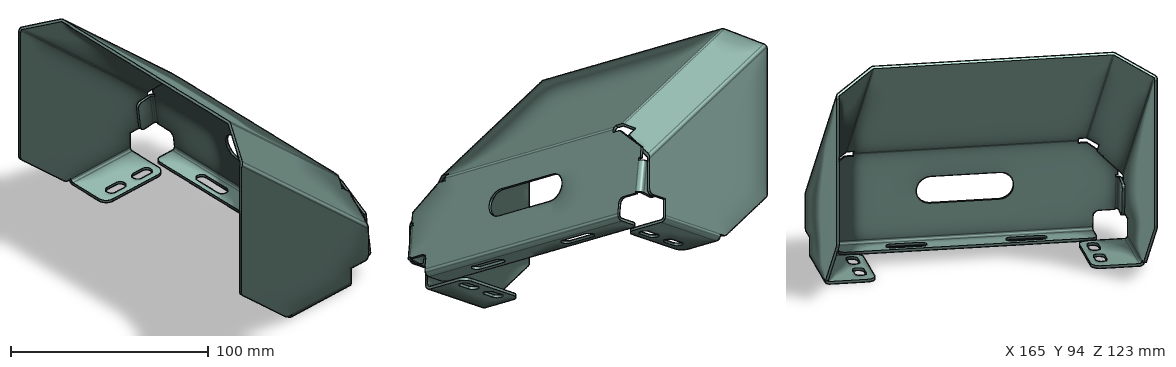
import cadquery as cq
import math

WIDTH = 165.0
DEPTH = 94.0
HEIGHT = 123.0
REACH = 2 * WIDTH

SHEET = 1.5
BEND_OUTER = 3.0
SHALLOW_BEND_OUTER = 2.5
CORNER = 2.5

ROOF_SLOPE_DEG = 42.6
ROOF_SLOPE = math.radians(ROOF_SLOPE_DEG)
WING_CANT = math.radians(36.0)
ROOF_HALF_WIDTH = 62.2
ROOF_TIP_Y = 11.0
CHEEK_BACK_Y = 87.8
CHEEK_FRONT_BOTTOM_Z = 31.7

OPENING_TOP_Z = 11.9
OPENING_CORNER = 3.0

FOOT_FRONT_Y = 34.8
FOOT_BACK_Y = 75.9
FOOT_INNER_X = 55.5
FOOT_CORNER = 5.0
FOOT_SLOT_X = 61.9
FOOT_SLOT_YS = (47.8, 66.0)
FOOT_SLOT_LENGTH = 12.0
FIXING_SLOT_WIDTH = 6.0

BACK_TILT_DEG = 7.0
BACK_TILT = math.radians(BACK_TILT_DEG)
FLANGE_FRONT_Y = 79.4
FLANGE_HALF_WIDTH = 66.3
FLANGE_CORNER = 3.3
FLANGE_SLOT_X = 30.9
FLANGE_SLOT_Y = 85.3
FLANGE_SLOT_LENGTH = 21.0
PANEL_HALF_WIDTH = 78.5
PANEL_SHOULDER_Z = 37.1
PANEL_TOP_HALF_WIDTH = 62.2
PANEL_TOP_Z = 49.8
WINDOW_LENGTH = 50.0
WINDOW_HEIGHT = 14.8
WINDOW_Z = 28.7

LUG_HALF_WIDTH = 80.5
LUG_BOTTOM_Z = 12.7
LUG_TOP_Z = 30.2
LUG_DEPTH = 11.5
LUG_RELIEF_HALF_WIDTH = LUG_HALF_WIDTH - BEND_OUTER
LUG_RELIEF_HEIGHT = 1.0

ROOF_FOLD_HALF_WIDTH = 57.8
ROOF_RELIEF_HALF_WIDTH = 68.3
ROOF_RELIEF_LENGTH = 3.0

HEEL_Y = DEPTH - BEND_OUTER + BEND_OUTER * (1 + math.sin(BACK_TILT)) / math.cos(BACK_TILT)
ROOF_DROP = math.tan(ROOF_SLOPE)
BACK_LEAN = math.tan(BACK_TILT)
RIDGE_Z = (HEIGHT - (HEEL_Y - ROOF_TIP_Y) * ROOF_DROP) / (1 - BACK_LEAN * ROOF_DROP)
RIDGE_Y = HEEL_Y - RIDGE_Z * BACK_LEAN
CHEEK_TOP_Z = HEIGHT - ROOF_TIP_Y / ROOF_DROP


def block(half_width, y_range, z_range):
    """Box centred on X between two Y and two Z limits."""
    y0, y1 = y_range
    z0, z1 = z_range
    box = cq.Workplane("XY").box(2 * half_width, y1 - y0, z1 - z0, centered=(True, False, False))
    return box.translate((0, y0, z0))


def prism(plane, points):
    """Closed outline extruded both ways from the plane."""
    return cq.Workplane(plane).polyline(points).close().extrude(REACH, both=True)


def round_corners(body, plane, points, radius):
    """Round the edges of a prism that pass through the given outline points."""
    for u, v in points:
        nearest = cq.selectors.NearestToPointSelector((0, u, v) if plane == "YZ" else (u, 0, v))
        body = body.edges(nearest).fillet(radius)
    return body


def hollow(body, axis):
    """Turn a prism along an axis into an open ring of sheet inside its outer face."""
    return body.faces(f"<{axis} or >{axis}").shell(-SHEET)


def mirrored(points):
    """Complete an outline given as its right half, from bottom to top."""
    return points + [(-x, z) for x, z in reversed(points)]


def rectangle(half_width, bottom, top):
    return mirrored([(half_width, bottom), (half_width, top)])


def make_hood():
    half = WIDTH / 2
    wing_drop = (half - ROOF_HALF_WIDTH) * math.tan(WING_CANT)
    section = prism("XZ", mirrored([(half, -REACH), (half, -wing_drop), (ROOF_HALF_WIDTH, 0)]))
    folds = [(side * x, z) for side in (-1, 1) for x, z in ((half, -wing_drop), (ROOF_HALF_WIDTH, 0))]
    hood = hollow(round_corners(section, "XZ", folds, SHALLOW_BEND_OUTER), "Y")

    relief_drop = (ROOF_RELIEF_HALF_WIDTH - ROOF_HALF_WIDTH) * math.tan(WING_CANT)
    relief_lean = wing_drop * math.tan(WING_CANT)
    relief = prism("XZ", mirrored([
        (ROOF_RELIEF_HALF_WIDTH - relief_lean, -relief_drop - wing_drop),
        (ROOF_RELIEF_HALF_WIDTH + relief_lean, -relief_drop + wing_drop),
    ]))
    hood = hood.cut(relief.intersect(block(WIDTH, (-ROOF_RELIEF_LENGTH, REACH), (-REACH, REACH))))
    hood = hood.rotate((0, 0, 0), (1, 0, 0), -ROOF_SLOPE_DEG).translate((0, RIDGE_Y, RIDGE_Z))

    bottom_front_y = (CHEEK_FRONT_BOTTOM_Z - BEND_OUTER) / ROOF_DROP
    outline = prism("YZ", [
        (0, CHEEK_FRONT_BOTTOM_Z),
        (0, CHEEK_TOP_Z),
        (ROOF_TIP_Y, HEIGHT),
        (CHEEK_BACK_Y, HEIGHT),
        (CHEEK_BACK_Y, OPENING_TOP_Z),
        (FOOT_BACK_Y, OPENING_TOP_Z),
        (FOOT_BACK_Y, BEND_OUTER),
        (bottom_front_y, BEND_OUTER),
    ])
    rounded = [
        (0, CHEEK_FRONT_BOTTOM_Z),
        (0, CHEEK_TOP_Z),
        (CHEEK_BACK_Y, OPENING_TOP_Z),
        (bottom_front_y, BEND_OUTER),
    ]
    return hood.intersect(round_corners(outline, "YZ", rounded, CORNER))


def make_feet():
    section = prism("XZ", rectangle(WIDTH / 2, 0, HEIGHT))
    feet = hollow(section.edges("|Y").fillet(BEND_OUTER), "Y")
    feet = feet.intersect(block(WIDTH, (FOOT_FRONT_Y, FOOT_BACK_Y), (0, BEND_OUTER)))
    gap = block(FOOT_INNER_X, (0, DEPTH), (0, BEND_OUTER))
    feet = feet.cut(gap)
    inner_corners = cq.selectors.BoxSelector(
        (-FOOT_INNER_X - SHEET, 0, 0), (FOOT_INNER_X + SHEET, DEPTH, SHEET)
    )
    feet = feet.edges("|Z").edges(inner_corners).fillet(FOOT_CORNER)
    slots = (
        cq.Workplane("XY")
        .pushPoints([(side * FOOT_SLOT_X, y) for side in (-1, 1) for y in FOOT_SLOT_YS])
        .slot2D(FOOT_SLOT_LENGTH, FIXING_SLOT_WIDTH, 90)
        .extrude(SHEET)
    )
    return feet.cut(slots)


def make_back():
    heel = (HEEL_Y, 0)
    ridge = (RIDGE_Y, RIDGE_Z)
    section = prism("YZ", [(ROOF_TIP_Y, 0), heel, ridge, (ROOF_TIP_Y, HEIGHT)])
    section = round_corners(section, "YZ", [heel], BEND_OUTER)
    section = round_corners(section, "YZ", [ridge], SHALLOW_BEND_OUTER)
    back = hollow(section, "X")
    back = back.intersect(block(WIDTH, (FLANGE_FRONT_Y, DEPTH), (0, HEIGHT)))
    outline = prism("XZ", mirrored([
        (FLANGE_HALF_WIDTH, 0),
        (FLANGE_HALF_WIDTH, OPENING_TOP_Z),
        (LUG_RELIEF_HALF_WIDTH, OPENING_TOP_Z),
        (LUG_RELIEF_HALF_WIDTH, LUG_TOP_Z + LUG_RELIEF_HEIGHT),
        (PANEL_HALF_WIDTH, LUG_TOP_Z + LUG_RELIEF_HEIGHT),
        (PANEL_HALF_WIDTH, PANEL_SHOULDER_Z),
        (PANEL_TOP_HALF_WIDTH, PANEL_TOP_Z),
        (ROOF_FOLD_HALF_WIDTH, PANEL_TOP_Z),
        (ROOF_FOLD_HALF_WIDTH, HEIGHT),
    ]))
    opening_corners = [(side * FLANGE_HALF_WIDTH, OPENING_TOP_Z) for side in (-1, 1)]
    back = back.intersect(round_corners(outline, "XZ", opening_corners, OPENING_CORNER))
    return back.edges("|Z and <Y").edges("<Z").fillet(FLANGE_CORNER)


def make_lugs():
    front_y = HEEL_Y - LUG_DEPTH
    section = prism("XY", rectangle(LUG_HALF_WIDTH, 0, HEEL_Y))
    lugs = hollow(section.edges("|Z").fillet(BEND_OUTER), "Z")
    outline = block(WIDTH, (front_y, HEEL_Y), (LUG_BOTTOM_Z, LUG_TOP_Z))
    outline = outline.edges("|X and <Y").fillet(CORNER)
    return lugs.intersect(outline).rotate((0, HEEL_Y, 0), (1, HEEL_Y, 0), BACK_TILT_DEG)


def make_back_openings():
    window = cq.Workplane("XZ").center(0, WINDOW_Z).slot2D(WINDOW_LENGTH, WINDOW_HEIGHT).extrude(-DEPTH)
    window = window.intersect(block(WIDTH, (FLANGE_FRONT_Y, DEPTH), (0, HEIGHT)))
    slots = (
        cq.Workplane("XY")
        .pushPoints([(-FLANGE_SLOT_X, FLANGE_SLOT_Y), (FLANGE_SLOT_X, FLANGE_SLOT_Y)])
        .slot2D(FLANGE_SLOT_LENGTH, FIXING_SLOT_WIDTH)
        .extrude(SHEET)
    )
    return window.union(slots)


back = make_back().union(make_lugs()).cut(make_back_openings())
result = make_hood().union(make_feet()).union(back).clean()